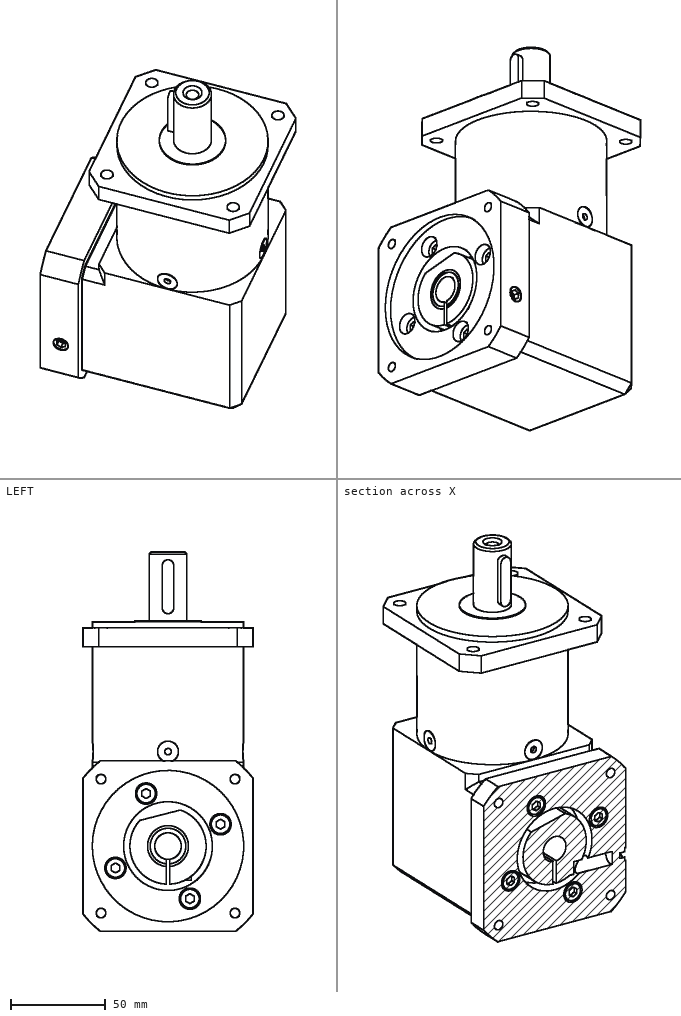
import cadquery as cq
import math


TOTAL_LENGTH = 114.5
TOTAL_HEIGHT = 200.5
FLANGE_SIDE = 90.0
BODY_SIDE = 80.0

FLANGE_HALF = FLANGE_SIDE / 2
BODY_HALF = BODY_SIDE / 2
SHAFT_TOP = TOTAL_HEIGHT - FLANGE_HALF
INPUT_FACE = FLANGE_HALF - TOTAL_LENGTH

BODY_CHAMFER = 5.0
BODY_TOP = 44.3
NECK_LENGTH = 0.5
NECK_INSET = 0.2

FLANGE_TOP = 115.3
FLANGE_THICKNESS = 10
FLANGE_CHAMFER = 8.5
PILOT_HEIGHT = 3.2
COLLAR_DIAMETER = 35.0
COLLAR_HEIGHT = 0.6
BOLT_CIRCLE = 100.0
OUTPUT_HOLE_DIAMETER = 6.5

SHAFT_DIAMETER = 20
SHAFT_CHAMFER = 1.2
KEY_WIDTH = 6
KEY_LENGTH = 28.5
KEY_TOP_GAP = 4.2
KEY_REACH = 12.8
CENTRE_SINK_DIAMETER = 10
CENTRE_SINK_DEPTH = 1.6
CENTRE_THREAD_DIAMETER = 6.6
CENTRE_THREAD_DEPTH = 10
CENTRE_DRILL_DIAMETER = 5.2
CENTRE_DRILL_DEPTH = 16
CENTRE_TIP_LENGTH = 1.6

PLUG_HEIGHT = 50.0
PLUG_DIAMETER = 11.0
SIDE_SOCKET_DIAMETER = 3.5
SIDE_SOCKET_DEPTH = 2

INPUT_THICKNESS = 21.5
INPUT_CORNER_DIAMETER = 115.0
RECESS_DEPTH = 4
BORE_DIAMETER = 47.0
INPUT_HOLE_DIAMETER = 5.0
INPUT_SINK_DIAMETER = 6.5
INPUT_SINK_DEPTH = 0.2

SCREW_CIRCLE = 60.2
SCREW_FIRST_ANGLE = 67.4
SCREW_POCKET_DIAMETER = 11.2
SCREW_HEAD_DIAMETER = 9.8
SCREW_HEAD_DEPTH = 8.8
SCREW_HEAD_HEIGHT = 6

HEX_SIZE = 5.2
HEX_DEPTH = 3.0
HEX_TURN = 90

HUB_DIAMETER = 40.3
HUB_DEPTH = 4.5
HUB_FLAT_DISTANCE = 16.8
HUB_FLAT_ANGLE = 14.3
HUB_BORE_DIAMETER = 14
HUB_BORE_DEPTH = 36
SLEEVE_DIAMETER = 18.8
SLEEVE_GROOVE_DIAMETER = 21.7
SLEEVE_GROOVE_DEPTH = 0.2
HUB_SLOT_WIDTH = 1.8

CLAMP_X = -58.0
CLAMP_Z = -14
CLAMP_DIAMETER = 8.2
CLAMP_HEAD_Y = -12.2
ACCESS_PLUG_RECESS = 0.6
ACCESS_PLUG_LENGTH = 8

FLANGE_BOTTOM = FLANGE_TOP - FLANGE_THICKNESS
PILOT_TOP = FLANGE_TOP + PILOT_HEIGHT
INPUT_BACK = INPUT_FACE + INPUT_THICKNESS
RECESS_FLOOR = INPUT_FACE + RECESS_DEPTH
HUB_FACE = INPUT_FACE + HUB_DEPTH
HOLE_SPACING = BOLT_CIRCLE / math.sqrt(2)


def upright(bottom, top):
    """Horizontal workplane at the bottom level, with the height up to the top level."""
    return cq.Workplane("XY").workplane(offset=bottom), top - bottom


def rod_x(diameter, start, end, y=0, z=0):
    """Round bar along X from start to end."""
    return cq.Workplane("YZ", origin=(start, y, z)).circle(diameter / 2).extrude(end - start)


def rod_z(diameter, bottom, top):
    """Round bar along the output axis."""
    plane, height = upright(bottom, top)
    return plane.circle(diameter / 2).extrude(height)


def square_x(side, start, end):
    """Square bar along the input axis."""
    return cq.Workplane("YZ", origin=(start, 0, 0)).rect(side, side).extrude(end - start)


def square_z(side, bottom, top):
    """Square bar along the output axis."""
    plane, height = upright(bottom, top)
    return plane.rect(side, side).extrude(height)


def input_sink(y, z):
    """Shallow countersink in the input face, opening towards -X."""
    return cq.Solid.makeCone(
        INPUT_SINK_DIAMETER / 2,
        INPUT_HOLE_DIAMETER / 2,
        INPUT_SINK_DEPTH,
        cq.Vector(INPUT_FACE, y, z),
        cq.Vector(1, 0, 0),
    )


def rod_y(diameter, start, end):
    """Round bar along Y on the axis of the clamp screw."""
    return cq.Workplane("XZ", origin=(CLAMP_X, start, CLAMP_Z)).circle(diameter / 2).extrude(start - end)


def make_elbow():
    """Two chamfered square arms that meet in a chamfered cube."""
    neck_end = INPUT_BACK + NECK_LENGTH
    corner = cq.Workplane("XY").box(BODY_SIDE, BODY_SIDE, BODY_SIDE).edges().chamfer(BODY_CHAMFER)
    input_arm = square_x(BODY_SIDE, neck_end, 0).edges("|X").chamfer(BODY_CHAMFER)
    output_arm = square_z(BODY_SIDE, 0, BODY_TOP).edges("|Z").chamfer(BODY_CHAMFER)
    neck = square_x(BODY_SIDE - 2 * NECK_INSET, INPUT_BACK, neck_end).edges("|X").chamfer(BODY_CHAMFER)
    return corner.union(input_arm).union(output_arm).union(neck)


def make_round_housing():
    """Round housing above the elbow, with four flat socket plugs near its foot."""
    housing = rod_z(BODY_SIDE, BODY_TOP, PILOT_TOP)
    flat_distance = math.sqrt(BODY_HALF**2 - (PLUG_DIAMETER / 2) ** 2)
    flat_cut = rod_x(PLUG_DIAMETER, flat_distance, BODY_SIDE, z=PLUG_HEIGHT)
    socket = rod_x(SIDE_SOCKET_DIAMETER, flat_distance - SIDE_SOCKET_DEPTH, BODY_SIDE, z=PLUG_HEIGHT)
    plug_cut = flat_cut.union(socket)
    for angle in (0, 90, 180, 270):
        housing = housing.cut(plug_cut.rotate((0, 0, 0), (0, 0, 1), angle))
    return housing


def make_output_flange():
    """Square mounting flange with chamfered corners and four through holes."""
    flange = square_z(FLANGE_SIDE, FLANGE_BOTTOM, FLANGE_TOP).edges("|Z").chamfer(FLANGE_CHAMFER)
    plane, height = upright(FLANGE_BOTTOM, FLANGE_TOP)
    holes = (
        plane.rect(HOLE_SPACING, HOLE_SPACING, forConstruction=True)
        .vertices()
        .circle(OUTPUT_HOLE_DIAMETER / 2)
        .extrude(height)
    )
    return flange.cut(holes)


def make_shaft():
    """Keyed output shaft with a collar at its foot and a stepped centre hole."""
    shaft = rod_z(SHAFT_DIAMETER, FLANGE_TOP, SHAFT_TOP).faces(">Z").chamfer(SHAFT_CHAMFER)
    collar = rod_z(COLLAR_DIAMETER, FLANGE_TOP, PILOT_TOP + COLLAR_HEIGHT)
    key_centre = SHAFT_TOP - KEY_TOP_GAP - KEY_LENGTH / 2
    key = (
        cq.Workplane("YZ", origin=(-KEY_REACH, 0, key_centre))
        .slot2D(KEY_LENGTH, KEY_WIDTH, 90)
        .extrude(KEY_REACH)
    )
    centre_hole = (
        cq.Workplane("XZ", origin=(0, 0, SHAFT_TOP))
        .lineTo(CENTRE_SINK_DIAMETER / 2, 0)
        .lineTo(CENTRE_THREAD_DIAMETER / 2, -CENTRE_SINK_DEPTH)
        .lineTo(CENTRE_THREAD_DIAMETER / 2, -CENTRE_THREAD_DEPTH)
        .lineTo(CENTRE_DRILL_DIAMETER / 2, -CENTRE_THREAD_DEPTH)
        .lineTo(CENTRE_DRILL_DIAMETER / 2, -CENTRE_DRILL_DEPTH)
        .lineTo(0, -CENTRE_DRILL_DEPTH - CENTRE_TIP_LENGTH)
        .close()
        .revolve(360, (0, 0, 0), (0, 1, 0))
    )
    return shaft.union(collar).union(key).cut(centre_hole)


def make_input_flange():
    """Square motor flange with turned corners, a stepped bore and four countersunk holes."""
    flange = square_x(FLANGE_SIDE, INPUT_FACE, INPUT_BACK)
    flange = flange.intersect(rod_x(INPUT_CORNER_DIAMETER, INPUT_FACE, INPUT_BACK))
    flange = flange.cut(rod_x(BODY_SIDE, INPUT_FACE, RECESS_FLOOR))
    flange = flange.cut(rod_x(BORE_DIAMETER, INPUT_FACE, INPUT_BACK))
    for y in (-HOLE_SPACING / 2, HOLE_SPACING / 2):
        for z in (-HOLE_SPACING / 2, HOLE_SPACING / 2):
            flange = flange.cut(rod_x(INPUT_HOLE_DIAMETER, INPUT_FACE, INPUT_BACK, y, z))
            flange = flange.cut(input_sink(y, z))
    flange = flange.cut(rod_y(CLAMP_DIAMETER, -FLANGE_HALF, 0))
    return flange.union(make_access_plug())


def make_access_plug():
    """Hex socket plug that closes the access hole of the clamp screw."""
    plug_face = ACCESS_PLUG_RECESS - FLANGE_HALF
    plug = rod_y(CLAMP_DIAMETER, plug_face, plug_face + ACCESS_PLUG_LENGTH)
    socket = (
        cq.Workplane("XZ", origin=(CLAMP_X, plug_face, CLAMP_Z))
        .transformed(rotate=(0, 0, HEX_TURN))
        .polygon(6, HEX_SIZE)
        .extrude(-HEX_DEPTH)
    )
    return plug.cut(socket)


def add_cap_screws(flange):
    """Sink four hex socket screws into the recess floor of the input flange."""
    head_face = INPUT_FACE + SCREW_HEAD_DEPTH
    head_seat = head_face + SCREW_HEAD_HEIGHT
    for index in range(4):
        angle = math.radians(SCREW_FIRST_ANGLE + 90 * index)
        y = SCREW_CIRCLE / 2 * math.cos(angle)
        z = SCREW_CIRCLE / 2 * math.sin(angle)
        pocket = rod_x(SCREW_POCKET_DIAMETER, INPUT_FACE, head_seat, y, z)
        head = rod_x(SCREW_HEAD_DIAMETER, head_face, head_seat, y, z)
        socket = (
            cq.Workplane("YZ", origin=(head_face, y, z))
            .transformed(rotate=(0, 0, HEX_TURN))
            .polygon(6, HEX_SIZE)
            .extrude(HEX_DEPTH)
        )
        flange = flange.cut(pocket).union(head.cut(socket))
    return flange


def make_hub():
    """Clamping hub with a balancing flat, a clamp slot and a recessed clamp screw."""
    hub = rod_x(HUB_DIAMETER, HUB_FACE, INPUT_BACK)
    flat_cut = (
        cq.Workplane("XY")
        .box(INPUT_THICKNESS, HUB_DIAMETER, HUB_DIAMETER)
        .translate((HUB_FACE + INPUT_THICKNESS / 2, 0, HUB_FLAT_DISTANCE + HUB_DIAMETER / 2))
        .rotate((0, 0, 0), (1, 0, 0), -HUB_FLAT_ANGLE)
    )
    hub = hub.cut(flat_cut)
    clamp_pocket = rod_y(CLAMP_DIAMETER, -HUB_DIAMETER, CLAMP_HEAD_Y)
    clamp_head = rod_y(CLAMP_DIAMETER, CLAMP_HEAD_Y, 0)
    hub = hub.cut(clamp_pocket).union(clamp_head)

    groove_end = HUB_FACE + SLEEVE_GROOVE_DEPTH
    groove = rod_x(SLEEVE_GROOVE_DIAMETER, HUB_FACE, groove_end).cut(
        rod_x(SLEEVE_DIAMETER, HUB_FACE, groove_end)
    )
    slot = cq.Workplane("XY").box(
        INPUT_BACK - HUB_FACE, HUB_SLOT_WIDTH, HUB_DIAMETER / 2, centered=(False, True, False)
    )
    return hub.cut(groove).cut(slot.translate((HUB_FACE, 0, -HUB_DIAMETER / 2)))


result = (
    make_elbow()
    .union(make_round_housing())
    .union(make_output_flange())
    .union(make_shaft())
    .union(add_cap_screws(make_input_flange()))
    .union(make_hub())
    .cut(rod_x(HUB_BORE_DIAMETER, HUB_FACE, HUB_FACE + HUB_BORE_DEPTH))
)